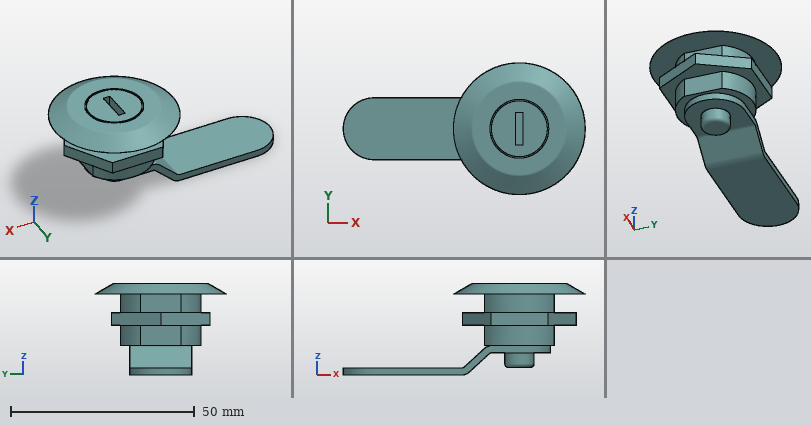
import cadquery as cq
import math


bezel_diameter = 36.0
bezel_height = 3.0
bezel_slope = math.radians(30)
bezel_edge_radius = 1.0

plug_diameter = 15.25
groove_diameter = 16.05
groove_depth = 0.5
slot_width = 2.0
slot_length = 9.0
slot_depth = 5.0

barrel_diameter = 22.0
barrel_flats = 19.0
barrel_length = 14.0

nut_across_flats = 26.9
nut_thickness = 3.4
nut_top = -5.0

pin_diameter = 8.0
pin_end_diameter = 6.0
pin_end_radius = (pin_diameter - pin_end_diameter) / 2
pin_length = 6.0

cam_length = 66 - bezel_diameter / 2
cam_width = 16.95
cam_thickness = 2.0
cam_drop = 6.1
cam_slope = math.radians(42.5)
cam_bend_start = -7.5
bend_inner_radius = 1.0

barrel_bottom = -barrel_length


def make_bezel():
    outer_radius = bezel_diameter / 2
    top_radius = outer_radius - bezel_height / math.tan(bezel_slope)
    outline = [(0, 0), (outer_radius, 0), (top_radius, bezel_height), (0, bezel_height)]
    bezel = cq.Workplane("XZ").polyline(outline).close().revolve(360, (0, 0), (0, 1))
    return bezel.faces(">Z").edges().fillet(bezel_edge_radius)


def make_barrel():
    barrel = cq.Workplane("XY").circle(barrel_diameter / 2).extrude(barrel_bottom)
    flats = cq.Workplane("XY").rect(barrel_flats, barrel_diameter).extrude(barrel_bottom)
    return barrel.intersect(flats)


def make_nut():
    across_corners = nut_across_flats / math.cos(math.pi / 6)
    return cq.Workplane("XY", origin=(0, 0, nut_top)).polygon(6, across_corners).extrude(-nut_thickness)


def make_pin():
    pin = cq.Workplane("XY", origin=(0, 0, barrel_bottom)).circle(pin_diameter / 2).extrude(-pin_length)
    return pin.faces("<Z").edges().fillet(pin_end_radius)


def make_lock():
    face = cq.Workplane("XY", origin=(0, 0, bezel_height))
    groove = face.circle(groove_diameter / 2).circle(plug_diameter / 2).extrude(-groove_depth)
    slot = face.rect(slot_width, slot_length).extrude(-slot_depth)
    lock = make_bezel().union(make_barrel()).union(make_nut()).union(make_pin())
    return lock.cut(groove).cut(slot)


def make_cam():
    end_radius = cam_width / 2
    half_bend_tangent = math.tan(cam_slope / 2)
    half_thickness = cam_thickness / 2

    upper_z = barrel_bottom - half_thickness
    lower_z = upper_z - cam_drop
    upper_x = cam_bend_start - (bend_inner_radius + half_thickness) * half_bend_tangent
    lower_x = upper_x - cam_drop / math.tan(cam_slope)

    def edge_line(offset):
        """Side of the strip at a height offset from the mid-surface, from the tip inwards."""
        shift = -offset * half_bend_tangent
        return [
            (-cam_length, lower_z + offset),
            (lower_x + shift, lower_z + offset),
            (upper_x + shift, upper_z + offset),
            (end_radius, upper_z + offset),
        ]

    top_line = edge_line(half_thickness)
    bottom_line = edge_line(-half_thickness)
    strip = cq.Workplane("XZ").polyline(top_line + bottom_line[::-1]).close().extrude(end_radius, both=True)

    bend_outer_radius = bend_inner_radius + cam_thickness
    bends = [
        (top_line[1], bend_inner_radius),
        (bottom_line[1], bend_outer_radius),
        (top_line[2], bend_outer_radius),
        (bottom_line[2], bend_inner_radius),
    ]
    for (x, z), radius in bends:
        strip = strip.edges(cq.selectors.NearestToPointSelector((x, 0, z))).fillet(radius)

    plan_length = cam_length + end_radius
    plan = (
        cq.Workplane("XY")
        .center(end_radius - plan_length / 2, 0)
        .slot2D(plan_length, cam_width)
        .extrude(2 * barrel_bottom)
    )
    pin_hole = cq.Workplane("XY").circle(pin_diameter / 2).extrude(2 * barrel_bottom)
    return strip.intersect(plan).cut(pin_hole)


lock = make_lock()
cam = make_cam()

result = cq.Compound.makeCompound([lock.val(), cam.val()])